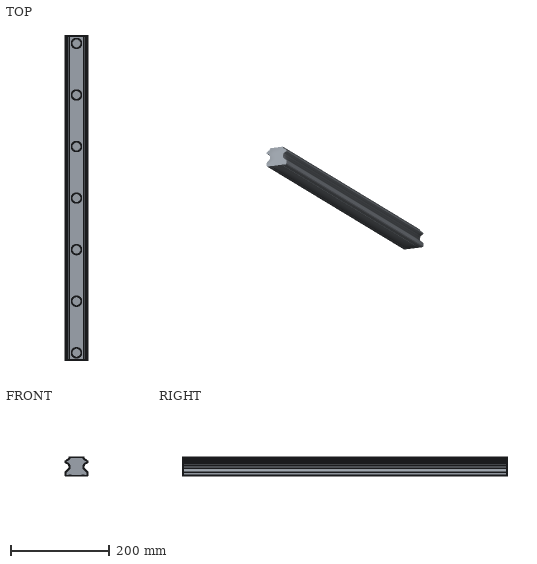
import cadquery as cq

length = 660.0
width = 45.0
height = 38.0

base_chamfer = 1.65
base_side_top = 8.0
web_bottom = 16.0
web_top = 20.5
undercut_break_z = 24.5
tip_bottom = 28.0
tip_top = 30.0

half_width = width / 2
web_half_width = 14.5
undercut_break_x = 16.5
top_half_width = 14.5

wall_drop = 2.0
round_width = 4.3
round_height = 3.0
round_depth = 0.5
wall_bottom = height - wall_drop
shoulder_half_width = top_half_width + round_width
shoulder_z = wall_bottom - round_height

groove_offset = 13.0
groove_width = 4.0
groove_depth = 0.5

hole_count = 7
hole_pitch = 105.0
hole_diameter = 20.0
hole_recess = 0.3


def make_half_rail():
    """Extrude the right half of the waisted rail section along Y."""
    section = (
        cq.Workplane("XZ")
        .lineTo(half_width - base_chamfer, 0)
        .lineTo(half_width, base_chamfer)
        .lineTo(half_width, base_side_top)
        .lineTo(web_half_width, web_bottom)
        .lineTo(web_half_width, web_top)
        .lineTo(undercut_break_x, undercut_break_z)
        .lineTo(half_width, tip_bottom)
        .lineTo(half_width, tip_top)
        .lineTo(shoulder_half_width, shoulder_z)
        .sagittaArc((top_half_width, wall_bottom), round_depth)
        .lineTo(top_half_width, height)
        .lineTo(0, height)
        .close()
    )
    return section.extrude(length / 2, both=True)


def make_rail():
    """Join the half rail to its mirror image."""
    half = make_half_rail()
    return half.union(half.mirror("YZ")).clean()


def make_base_grooves():
    """Two shallow grooves running the full length of the underside."""
    centres = cq.Workplane("XY").pushPoints([(-groove_offset, 0), (groove_offset, 0)])
    return centres.rect(groove_width, length).extrude(groove_depth)


def make_hole_recesses():
    """Shallow round recesses left above the hole caps, evenly spaced along Y."""
    floor = cq.Workplane("XY").workplane(offset=height - hole_recess)
    centres = floor.rarray(6.5, hole_pitch, 1, hole_count)
    return centres.circle(hole_diameter / 2).extrude(hole_recess)


result = make_rail().cut(make_base_grooves()).cut(make_hole_recesses())